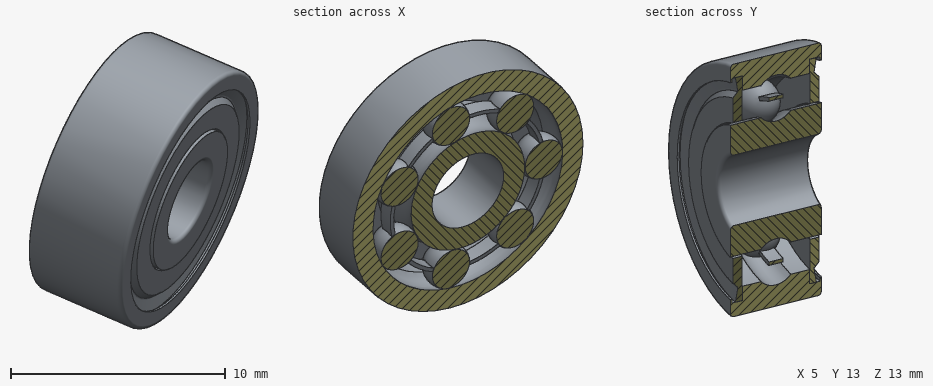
import cadquery as cq
import math


OUTER_RADIUS = 6.5
BORE_RADIUS = 2.0
WIDTH = 5.0
EDGE_FILLET = 0.2

INNER_LAND_RADIUS = 3.48
OUTER_LAND_RADIUS = 5.06

MOUTH_RADIUS = 5.59
MOUTH_LIP_THICKNESS = 0.1
SEAT_RADIUS = 5.77

SHIELD_CLEARANCE = 0.08
SHIELD_FACE_RADIUS = 4.8
SHIELD_BEVEL_RADIUS = 5.06
SHIELD_FLANGE_RADIUS = 5.14
SHIELD_FACE_DEPTH = 0.13
SHIELD_RIM_DEPTH = 0.27
SHIELD_VALLEY_DEPTH = 0.39
SHIELD_VALLEY_THICKNESS = 0.26

BALL_COUNT = 7
BALL_RADIUS = 1.13
CAGE_THICKNESS = 0.2
CAGE_WIDTH = 0.78

HALF_WIDTH = WIDTH / 2
PITCH_RADIUS = (INNER_LAND_RADIUS + OUTER_LAND_RADIUS) / 2
SHIELD_BORE_RADIUS = INNER_LAND_RADIUS + SHIELD_CLEARANCE
MOUTH_LIP_X = HALF_WIDTH - MOUTH_LIP_THICKNESS
SHIELD_FACE_X = HALF_WIDTH - SHIELD_FACE_DEPTH
SHIELD_RIM_X = HALF_WIDTH - SHIELD_RIM_DEPTH
SHIELD_VALLEY_X = HALF_WIDTH - SHIELD_VALLEY_DEPTH
SHIELD_BACK_X = SHIELD_VALLEY_X - SHIELD_VALLEY_THICKNESS


def revolve_about_x(profile):
    """Turn a closed (x, radius) profile drawn on the XY plane once around the X axis."""
    return profile.revolve(360, (0, 0, 0), (1, 0, 0))


def tube(inner_radius, outer_radius, width):
    """Plain ring around the X axis, centred on x = 0."""
    return (
        cq.Workplane("YZ")
        .workplane(offset=-width / 2)
        .circle(outer_radius)
        .circle(inner_radius)
        .extrude(width)
    )


def raceway():
    """Torus swept by a ball as it rolls around the axis."""
    center = cq.Vector(0, 0, 0)
    axis = cq.Vector(1, 0, 0)
    return cq.Workplane(cq.Solid.makeTorus(PITCH_RADIUS, BALL_RADIUS, center, axis))


def make_outer_ring():
    """Outer race with rounded rims, an undercut seat at each end and a ball groove."""
    profile = cq.Workplane("XY").polyline([
        (-HALF_WIDTH, OUTER_RADIUS),
        (HALF_WIDTH, OUTER_RADIUS),
        (HALF_WIDTH, MOUTH_RADIUS),
        (MOUTH_LIP_X, MOUTH_RADIUS),
        (MOUTH_LIP_X, SEAT_RADIUS),
        (SHIELD_BACK_X, SEAT_RADIUS),
        (SHIELD_BACK_X, OUTER_LAND_RADIUS),
        (-SHIELD_BACK_X, OUTER_LAND_RADIUS),
        (-SHIELD_BACK_X, SEAT_RADIUS),
        (-MOUTH_LIP_X, SEAT_RADIUS),
        (-MOUTH_LIP_X, MOUTH_RADIUS),
        (-HALF_WIDTH, MOUTH_RADIUS),
    ]).close()
    rim_edges = cq.selectors.RadiusNthSelector(-1)
    ring = revolve_about_x(profile)
    return ring.edges("%CIRCLE").edges(rim_edges).fillet(EDGE_FILLET).cut(raceway())


def make_inner_ring():
    """Inner race with a rounded bore and a ball groove."""
    bore_edges = cq.selectors.RadiusNthSelector(0)
    ring = tube(BORE_RADIUS, INNER_LAND_RADIUS, WIDTH)
    return ring.edges("%CIRCLE").edges(bore_edges).fillet(EDGE_FILLET).cut(raceway())


def make_shield(side):
    """Bevelled washer with a tilted flange at its rim; side is -1 or +1 along X."""
    profile = cq.Workplane("XY").polyline([
        (side * SHIELD_BACK_X, SHIELD_BORE_RADIUS),
        (side * SHIELD_FACE_X, SHIELD_BORE_RADIUS),
        (side * SHIELD_FACE_X, SHIELD_FACE_RADIUS),
        (side * SHIELD_VALLEY_X, SHIELD_BEVEL_RADIUS),
        (side * SHIELD_VALLEY_X, SHIELD_FLANGE_RADIUS),
        (side * SHIELD_RIM_X, SEAT_RADIUS),
        (side * SHIELD_BACK_X, SEAT_RADIUS),
    ]).close()
    return revolve_about_x(profile)


def make_ball_set():
    """Evenly spaced balls, the first on +Y, held on a band along the pitch circle."""
    balls = tube(PITCH_RADIUS - CAGE_THICKNESS / 2, PITCH_RADIUS + CAGE_THICKNESS / 2, CAGE_WIDTH)
    for index in range(BALL_COUNT):
        angle = 2 * math.pi * index / BALL_COUNT
        center = (0, PITCH_RADIUS * math.cos(angle), PITCH_RADIUS * math.sin(angle))
        balls = balls.union(cq.Workplane("XY").sphere(BALL_RADIUS).translate(center))
    return balls


outer_ring = make_outer_ring()
inner_ring = make_inner_ring()
shields = [make_shield(side) for side in (-1, 1)]
ball_set = make_ball_set()

result = cq.Compound.makeCompound([
    outer_ring.solids().val(),
    inner_ring.solids().val(),
    *[shield.val() for shield in shields],
    ball_set.solids().val(),
])